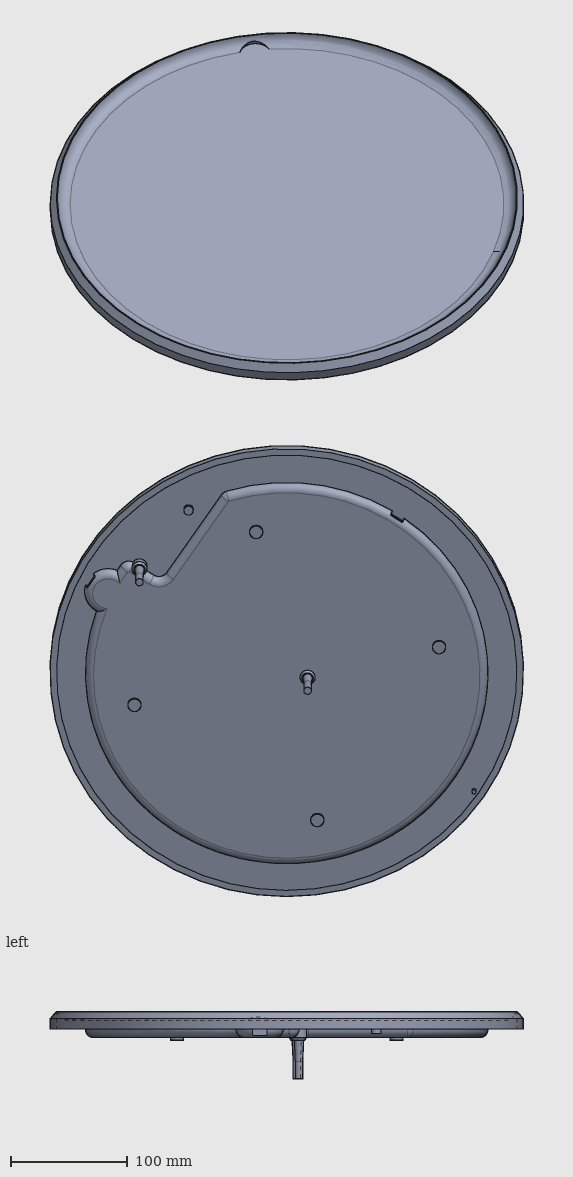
import cadquery as cq
import math

outer_radius = 203.0
plate_bottom = -15.0
seam_radius = 197.5

bevel_height = 6.0
rim_land = 0.5

dish_top_radius = 197.0
dish_floor_radius = 186.0
dish_depth = 7.7

notch_x = -179.0
lobe_y = 23.0
notch_radius = 14.0

pan_radius = 172.7
pan_bottom = -22.5
pan_edge_fillet = 7.0
lobe_radius = 20.5
lobe_x = -168.5

bay_right_x = -136.0
bay_back_y = -10.5
bay_corner_radius = 8.0

clip_width = 12.0
clip_depth = 3.0
clip_bottom = -20.5

foot_offset = 94.3
foot_diameter = 11.5
foot_bottom = -24.8

studs = [(-159.0, -10.5, -42.5), (16.0, -8.5, -40.5)]
collar_diameter = 13.0
collar_end_diameter = 9.8
collar_bottom = -24.8
shank_diameter = 8.0
tip_diameter = 6.5
stud_bottom = -57.7

pegs = [(-152.5, -77.0, 8.0), (193.0, 0.0, 3.78)]
peg_height = 3.5


def column(x, y, diameter, top, bottom):
    """Upright cylinder between two heights."""
    return cq.Workplane("XY", origin=(x, y, bottom)).circle(diameter / 2).extrude(top - bottom)


def revolved(profile):
    """Turn a closed radius-height profile about the Z axis."""
    return profile.close().revolve(360, (0, 0, 0), (0, 1, 0))


def make_rim():
    profile = (
        cq.Workplane("XZ")
        .moveTo(seam_radius, plate_bottom)
        .lineTo(outer_radius, plate_bottom)
        .lineTo(outer_radius, -bevel_height)
        .lineTo(seam_radius + rim_land, 0)
        .lineTo(seam_radius, 0)
    )
    return revolved(profile)


def make_dished_plate():
    run = dish_top_radius - dish_floor_radius
    arc_radius = (run**2 + dish_depth**2) / (2 * dish_depth)
    half_sweep = math.asin(run / arc_radius) / 2
    arc_middle = (
        dish_floor_radius + arc_radius * math.sin(half_sweep),
        -dish_depth + arc_radius * (1 - math.cos(half_sweep)),
    )
    profile = (
        cq.Workplane("XZ")
        .moveTo(0, plate_bottom)
        .lineTo(seam_radius, plate_bottom)
        .lineTo(seam_radius, 0)
        .lineTo(dish_top_radius, 0)
        .threePointArc(arc_middle, (dish_floor_radius, -dish_depth))
        .lineTo(0, -dish_depth)
    )
    notch = column(notch_x, lobe_y, 2 * notch_radius, 0, -dish_depth)
    return revolved(profile).cut(notch)


def rounded_underneath(solid):
    """Round the bottom edges of a part of the pan."""
    return solid.faces("<Z").edges().fillet(pan_edge_fillet)


def make_pan():
    bay = (
        cq.Workplane("XY", origin=(bay_right_x, bay_back_y, pan_bottom))
        .rect(-outer_radius, -outer_radius, centered=False)
        .extrude(plate_bottom - pan_bottom)
    )
    disc = column(0, 0, 2 * pan_radius, plate_bottom, pan_bottom).cut(bay)
    disc = disc.edges("|Z").fillet(bay_corner_radius)
    lobe = column(lobe_x, lobe_y, 2 * lobe_radius, plate_bottom, pan_bottom)
    pan = rounded_underneath(disc).union(rounded_underneath(lobe))

    slot_height = plate_bottom - clip_bottom
    slot_middle_z = (plate_bottom + clip_bottom) / 2
    front_slot = cq.Workplane("XY").box(clip_width, 2 * clip_depth, slot_height)
    side_slot = cq.Workplane("XY").box(2 * clip_depth, clip_width, slot_height)
    pan = pan.cut(front_slot.translate((0, -pan_radius, slot_middle_z)))
    return pan.cut(side_slot.translate((lobe_x - lobe_radius, lobe_y, slot_middle_z)))


def cone(x, y, top_diameter, bottom_diameter, top, bottom):
    """Upright tapered column between two heights."""
    solid = cq.Solid.makeCone(
        bottom_diameter / 2, top_diameter / 2, top - bottom, cq.Vector(x, y, bottom), cq.Vector(0, 0, 1)
    )
    return cq.Workplane(solid)


def make_stud(x, y, tip_top):
    collar = column(x, y, collar_diameter, plate_bottom, pan_bottom)
    collar_end = cone(x, y, collar_diameter, collar_end_diameter, pan_bottom, collar_bottom)
    shank = cone(x, y, shank_diameter, tip_diameter, collar_bottom, tip_top)
    tip = column(x, y, tip_diameter, tip_top, stud_bottom)
    return collar.union(collar_end).union(shank).union(tip)


def make_tray():
    tray = make_dished_plate().union(make_pan())
    for x in (-foot_offset, foot_offset):
        for y in (-foot_offset, foot_offset):
            tray = tray.union(column(x, y, foot_diameter, pan_bottom, foot_bottom))
    for x, y, tip_top in studs:
        tray = tray.union(make_stud(x, y, tip_top))
    for x, y, diameter in pegs:
        tray = tray.union(column(x, y, diameter, plate_bottom, plate_bottom - peg_height))
    return tray


rim = make_rim()
tray = make_tray()
result = cq.Compound.makeCompound([rim.val(), *tray.vals()])